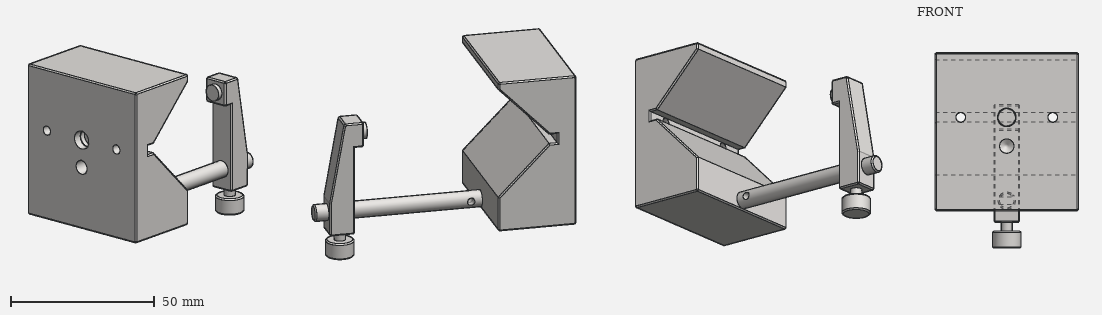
import cadquery as cq
BLOCK_WIDTH = 50.0
BLOCK_DEPTH = 28.0
BLOCK_HEIGHT = 55.0
GROOVE_Z = 32.5
GROOVE_HALF_OPENING = 20.0
RELIEF_WIDTH = 3.4
RELIEF_FLOOR_Y = 6.8
BLOCK_CHAMFER = 0.5

SIDE_HOLE_DIAMETER = 3.3
SIDE_HOLE_X = 16.0
COUNTERBORE_DIAMETER = 6.5
COUNTERBORE_DEPTH = 3.0
CENTRE_HOLE_DIAMETER = 6.1
CENTRE_HOLE_DEPTH = 5.0
TAPPED_HOLE_DIAMETER = 5.0
TAPPED_HOLE_DROP = 10.0
TAPPED_HOLE_DEPTH = 10.0
DRILL_POINT_HEIGHT = 1.5

POST_DIAMETER = 6.0
POST_Z = 3.5
POST_LENGTH = 60.0
POST_CHAMFER = 0.5
CROSS_HOLE_DIAMETER = 2.6
CROSS_HOLE_OFFSET = 4.0

ARM_WIDTH = 9.0
ARM_THICKNESS = 9.0
ARM_INNER_Y = 74.2
ARM_OUTER_Y = ARM_INNER_Y + ARM_THICKNESS
ARM_BOTTOM_Z = -4.0
ARM_TOP_Z = 37.0
ARM_TAPER_START_Z = 8.0
ARM_TOP_OUTER_Y = 78.0
ARM_CHAMFER = 0.5
HEAD_FACE_Y = 71.0
HEAD_HALF_HEIGHT = ARM_TOP_Z - GROOVE_Z
HEAD_BOTTOM_Z = GROOVE_Z - HEAD_HALF_HEIGHT

PAD_DIAMETER = 5.8
PAD_THICKNESS = 1.7

KNOB_DIAMETER = 10.0
KNOB_HEIGHT = 6.0
KNOB_BOTTOM_Z = -13.0
KNOB_CHAMFER = 0.5
STEM_DIAMETER = 4.0
SCREW_Y = 78.5


def rod_along_y(diameter, start_y, length, x, z):
    """Cylinder that runs from start_y toward +Y."""
    plane = cq.Plane(origin=(x, start_y, z), xDir=(1, 0, 0), normal=(0, 1, 0))
    return cq.Workplane(plane).circle(diameter / 2).extrude(length)


def extrude_side_profile(points, width):
    """Prism centred on X = 0 from a closed outline of (Y, Z) points."""
    return cq.Workplane("YZ").polyline(points).close().extrude(width / 2, both=True)


def rod_along_z(diameter, height):
    """Cylinder that runs upward from the underside of the knob on the screw axis."""
    base = cq.Workplane("XY", origin=(0, SCREW_Y, KNOB_BOTTOM_Z))
    return base.circle(diameter / 2).extrude(height)


def make_block():
    half_relief = RELIEF_WIDTH / 2
    relief_mouth_y = BLOCK_DEPTH - (GROOVE_HALF_OPENING - half_relief)
    block = cq.Workplane("XY").box(
        BLOCK_WIDTH, BLOCK_DEPTH, BLOCK_HEIGHT, centered=(True, False, False)
    )
    block = block.edges("|X").chamfer(BLOCK_CHAMFER)
    groove = extrude_side_profile(
        [
            (BLOCK_DEPTH, GROOVE_Z + GROOVE_HALF_OPENING),
            (relief_mouth_y, GROOVE_Z + half_relief),
            (RELIEF_FLOOR_Y, GROOVE_Z + half_relief),
            (RELIEF_FLOOR_Y, GROOVE_Z - half_relief),
            (relief_mouth_y, GROOVE_Z - half_relief),
            (BLOCK_DEPTH, GROOVE_Z - GROOVE_HALF_OPENING),
        ],
        BLOCK_WIDTH,
    )
    return block.cut(groove).faces("<X or >X").chamfer(BLOCK_CHAMFER)


def make_tapped_hole():
    """Blind hole with a conical drill point."""
    radius = TAPPED_HOLE_DIAMETER / 2
    z = GROOVE_Z - TAPPED_HOLE_DROP
    tip_depth = TAPPED_HOLE_DEPTH + DRILL_POINT_HEIGHT
    half_section = [(0, 0), (radius, 0), (radius, TAPPED_HOLE_DEPTH), (0, tip_depth)]
    hole = cq.Workplane("XY", origin=(0, 0, z)).polyline(half_section).close()
    return hole.revolve(360, (0, 0), (0, 1))


def drill_front_holes(block):
    for x in (-SIDE_HOLE_X, SIDE_HOLE_X):
        block = block.cut(rod_along_y(SIDE_HOLE_DIAMETER, 0, BLOCK_DEPTH, x, GROOVE_Z))
    block = block.cut(rod_along_y(COUNTERBORE_DIAMETER, 0, COUNTERBORE_DEPTH, 0, GROOVE_Z))
    block = block.cut(rod_along_y(CENTRE_HOLE_DIAMETER, 0, CENTRE_HOLE_DEPTH, 0, GROOVE_Z))
    return block.cut(make_tapped_hole())


def make_post():
    post = rod_along_y(POST_DIAMETER, BLOCK_DEPTH, POST_LENGTH, 0, POST_Z)
    post = post.faces(">Y").chamfer(POST_CHAMFER)
    cross_hole = (
        cq.Workplane("YZ")
        .center(BLOCK_DEPTH + CROSS_HOLE_OFFSET, POST_Z)
        .circle(CROSS_HOLE_DIAMETER / 2)
        .extrude(POST_DIAMETER, both=True)
    )
    return post.cut(cross_hole)


def make_arm():
    arm = extrude_side_profile(
        [
            (ARM_INNER_Y, ARM_BOTTOM_Z),
            (ARM_OUTER_Y, ARM_BOTTOM_Z),
            (ARM_OUTER_Y, ARM_TAPER_START_Z),
            (ARM_TOP_OUTER_Y, ARM_TOP_Z),
            (HEAD_FACE_Y, ARM_TOP_Z),
            (HEAD_FACE_Y, HEAD_BOTTOM_Z),
            (ARM_INNER_Y, HEAD_BOTTOM_Z),
        ],
        ARM_WIDTH,
    )
    arm = arm.edges("(<Z or >Z or <Y) and |X").chamfer(ARM_CHAMFER)
    arm = arm.faces("<X or >X").chamfer(ARM_CHAMFER)
    pad = rod_along_y(PAD_DIAMETER, HEAD_FACE_Y - PAD_THICKNESS, PAD_THICKNESS, 0, GROOVE_Z)
    return arm.union(pad)


def make_locking_screw():
    knob = rod_along_z(KNOB_DIAMETER, KNOB_HEIGHT).edges().chamfer(KNOB_CHAMFER)
    stem = rod_along_z(STEM_DIAMETER, ARM_BOTTOM_Z - KNOB_BOTTOM_Z)
    return knob.union(stem)


drilled_block = drill_front_holes(make_block())
result = drilled_block.union(make_post()).union(make_arm()).union(make_locking_screw())